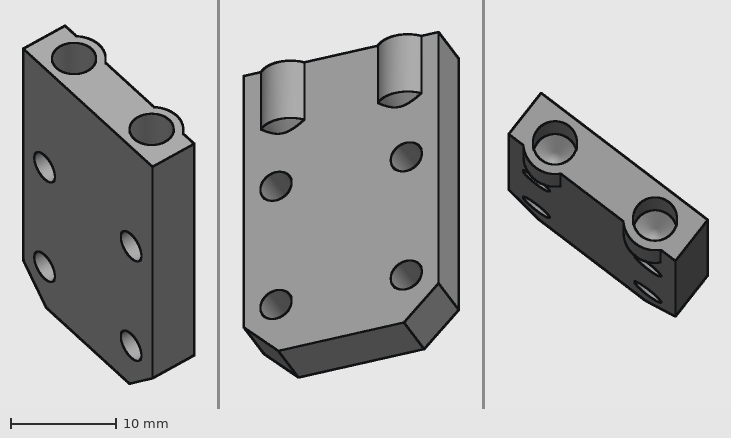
import cadquery as cq

width = 20.0
height = 32.0
thickness = 5.02
corner_chamfer = 3.55

cross_hole_diameter = 3.2
cross_hole_spacing = 13.38
lower_hole_height = 5.3

socket_diameter = 4.2
socket_spacing = 12.0
socket_depth = 6.55
socket_tip_length = 1.2

boss_radius = 3.0
boss_length = 6.5
socket_y = boss_radius


def make_plate():
    """Rectangular plate with its two bottom corners cut off."""
    plate = cq.Workplane("XY").box(width, thickness, height, centered=(True, False, False))
    return plate.faces("<Z").edges("|Y").chamfer(corner_chamfer)


def pointed_cylinder(x, radius, length, tip_length):
    """Cylinder hanging from the top edge and ending in a cone."""
    profile = (
        cq.Workplane("XZ", origin=(x, socket_y, height))
        .moveTo(0, 0)
        .lineTo(radius, 0)
        .lineTo(radius, -length)
        .lineTo(0, -length - tip_length)
        .close()
    )
    return profile.revolve(360, (0, 0), (0, 1))


def make_cross_holes():
    """Square pattern of four holes running along Y."""
    centre_height = lower_hole_height + cross_hole_spacing / 2
    return (
        cq.Workplane("XZ", origin=(0, 0, centre_height))
        .rect(cross_hole_spacing, cross_hole_spacing, forConstruction=True)
        .vertices()
        .circle(cross_hole_diameter / 2)
        .extrude(-thickness)
    )


socket_positions = (-socket_spacing / 2, socket_spacing / 2)

result = make_plate()
for x in socket_positions:
    result = result.union(pointed_cylinder(x, boss_radius, boss_length, boss_radius))
for x in socket_positions:
    result = result.cut(pointed_cylinder(x, socket_diameter / 2, socket_depth, socket_tip_length))
result = result.cut(make_cross_holes())